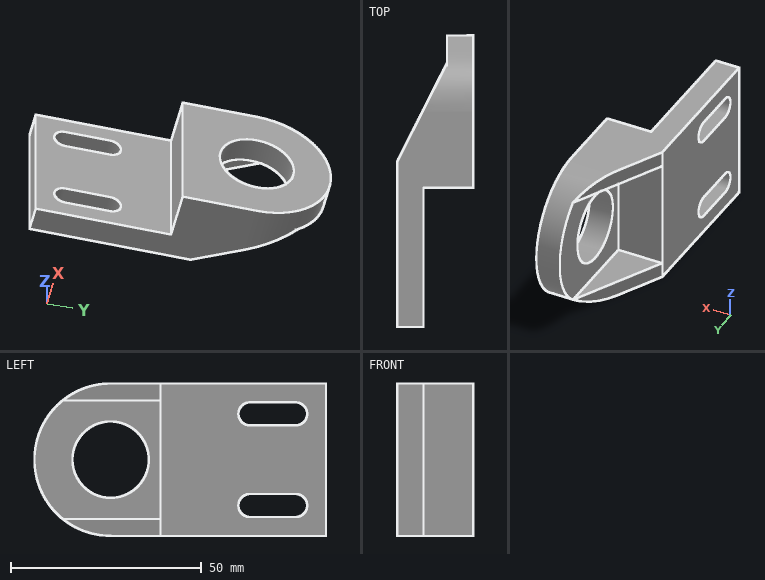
import cadquery as cq

length = 76.5
height = 40.0
depth = 20.0
plate_thickness = 6.95

eye_radius = height / 2
eye_y = length - eye_radius
eye_hole_diameter = 20.0

block_start_y = 36.5
slope_start_y = 43.45
slope_end_y = 69.15
rib_width = 4.4

slot_length = 18.0
slot_width = 6.0
slot_y = 14.0
slot_spacing = 24.0


def bracket_body():
    """Stepped profile in XY, extruded over the full height about Z = 0."""
    eye_plate_x = depth - plate_thickness
    profile = [
        (0, 0),
        (plate_thickness, 0),
        (plate_thickness, block_start_y),
        (depth, block_start_y),
        (depth, length),
        (eye_plate_x, length),
        (eye_plate_x, slope_end_y),
        (0, slope_start_y),
    ]
    return cq.Workplane("XY").polyline(profile).close().extrude(height / 2, both=True)


def rounded_outline():
    """Plate outline in YZ with a full-round eye end."""
    half_height = height / 2
    return (
        cq.Workplane("YZ")
        .moveTo(0, -half_height)
        .lineTo(eye_y, -half_height)
        .threePointArc((length, 0), (eye_y, half_height))
        .lineTo(0, half_height)
        .close()
        .extrude(depth)
    )


def rib_pocket():
    """Recess between the two sloped ribs, down to the eye plate."""
    return cq.Workplane("XY").box(
        depth - plate_thickness,
        length - slope_start_y,
        height - 2 * rib_width,
        centered=(False, False, True),
    ).translate((0, slope_start_y, 0))


def eye_hole():
    return cq.Workplane("YZ").center(eye_y, 0).circle(eye_hole_diameter / 2).extrude(depth)


def mounting_slots():
    slot_centers = [(slot_y, side * slot_spacing / 2) for side in (-1, 1)]
    return (
        cq.Workplane("YZ")
        .pushPoints(slot_centers)
        .slot2D(slot_length, slot_width)
        .extrude(plate_thickness)
    )


result = (
    bracket_body()
    .intersect(rounded_outline())
    .cut(rib_pocket())
    .cut(eye_hole())
    .cut(mounting_slots())
)